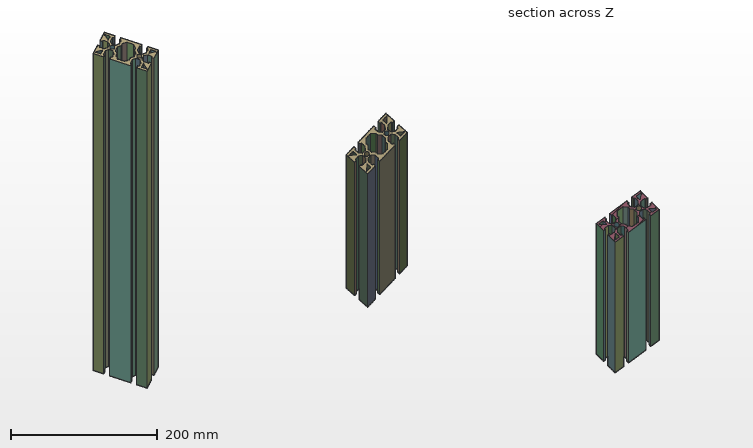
import cadquery as cq

length = 700.0
module = 40.0
width = 2 * module
half_module = module / 2

slot_mouth = 8.5
slot_cavity = 12.5
slot_floor = 6.0
lip = 3.85
shoulder_depth = 10.5
slot_depth = 15.0

bore_diameter = 6.65

chamber_skin = 4.0
chamber_height = module - 2 * chamber_skin
chamber_end_width = 19.5
chamber_mid_width = 27.0
chamber_wall_height = 15.0
chamber_waist_height = 6.0
chamber_chamfer = 5.0

hollow_start = 1.75
hollow_end = 10.0
hollow_top = 3.5
hollow_bottom = 10.5


def prism(points):
    """Extrude a closed outline along the whole part."""
    return cq.Workplane("XY").polyline(points).close().extrude(length)


def slot_cutter(x, angle):
    """T-slot opening half a module from (x, 0), turned from +Y by angle."""
    right_side = [
        (slot_mouth / 2, half_module),
        (slot_mouth / 2, half_module - lip),
        (slot_cavity / 2, half_module - lip),
        (slot_cavity / 2, half_module - shoulder_depth),
        (slot_floor / 2, half_module - slot_depth),
    ]
    left_side = [(-px, py) for px, py in reversed(right_side)]
    cutter = prism(right_side + left_side)
    return cutter.rotate((0, 0, 0), (0, 0, 1), angle).translate((x, 0, 0))


def chamber_cutter():
    """Hollow between the modules, widest at mid height."""
    upper_right = [
        (chamber_end_width / 2 - chamber_chamfer, chamber_height / 2),
        (chamber_end_width / 2, chamber_height / 2 - chamber_chamfer),
        (chamber_end_width / 2, chamber_wall_height / 2),
        (chamber_mid_width / 2, chamber_waist_height / 2),
    ]
    right_side = upper_right + [(x, -y) for x, y in reversed(upper_right)]
    left_side = [(-x, y) for x, y in reversed(right_side)]
    return prism(right_side + left_side)


def corner_cutter(x_sign, y_sign):
    """Triangular hollow in the corner picked by the two signs."""
    insets = [
        (hollow_start, hollow_top),
        (hollow_end, hollow_top),
        (hollow_end, hollow_bottom),
    ]
    return prism([(x_sign * (width / 2 - dx), y_sign * (half_module - dy)) for dx, dy in insets])


result = cq.Workplane("XY").rect(width, module).extrude(length)
result = result.cut(chamber_cutter())

for side in (-1, 1):
    module_center = side * half_module
    outward_angle = -90 * side
    for slot_angle in (0, 180, outward_angle):
        result = result.cut(slot_cutter(module_center, slot_angle))
    bore = cq.Workplane("XY").center(module_center, 0).circle(bore_diameter / 2).extrude(length)
    result = result.cut(bore)
    for y_side in (-1, 1):
        result = result.cut(corner_cutter(side, y_side))